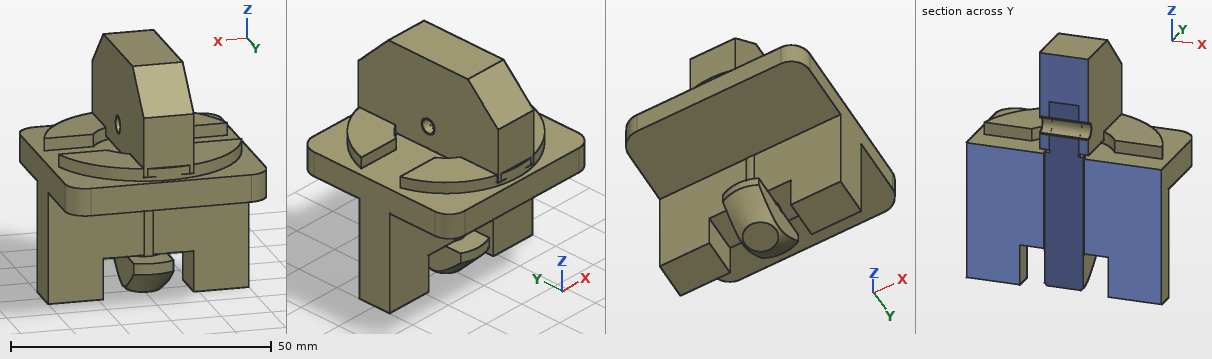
import cadquery as cq

plate_size = 40.0
plate_corner_radius = 4.05
plate_thickness = 5.5
slab_height = 22.45
slab_thickness = 8.0
notch_width = 18.05
notch_height = 8.25
ring_outer_diameter = 37.95
ring_inner_diameter = 19.9
ring_height = 2.5
ring_gap = 10.3
bore_diameter = 8.2
plate_top = slab_height + plate_thickness

total_height = 48.75
handle_thickness = 10.0
handle_length = 37.0
handle_height = 20.0
shoulder_size = 8.0
handle_bottom = total_height - handle_height

stem_diameter = 8.0
drive_width = 6.0
drive_shoulder_rise = 0.35
drive_bottom = plate_top + drive_shoulder_rise
drive_socket_depth = 10.0
drive_top = handle_bottom + drive_socket_depth
head_diameter = 17.2
head_bottom = 0.6
head_rim_bottom = 5.75
head_top = 7.95
head_taper = head_rim_bottom - head_bottom

pin_outer_diameter = 3.5
pin_inner_diameter = 3.0
pin_height = 33.75


def block(x_size, y_size, z_bottom, z_top):
    """Box centred on the Z axis between two heights."""
    return cq.Workplane("XY", origin=(0, 0, z_bottom)).box(
        x_size, y_size, z_top - z_bottom, centered=(True, True, False)
    )


def cylinder(diameter, z_bottom, z_top):
    """Upright cylinder on the Z axis between two heights."""
    return cq.Workplane("XY", origin=(0, 0, z_bottom)).circle(diameter / 2).extrude(z_top - z_bottom)


def cross_rod(diameter):
    """Rod along X at the pin height, as long as the handle is thick."""
    plane = cq.Workplane("YZ", origin=(-handle_thickness / 2, 0, pin_height))
    return plane.circle(diameter / 2).extrude(handle_thickness)


def make_drive_end():
    """Top of the stem, with two flats facing along X."""
    round_end = cylinder(stem_diameter, drive_bottom, drive_top)
    return round_end.intersect(block(drive_width, stem_diameter, drive_bottom, drive_top))


def make_ring():
    """Ring split into two segments by a straight gap along X."""
    ring_top = plate_top + ring_height
    ring = cylinder(ring_outer_diameter, plate_top, ring_top)
    ring = ring.cut(cylinder(ring_inner_diameter, plate_top, ring_top))
    return ring.cut(block(ring_outer_diameter, ring_gap, plate_top, ring_top))


def make_base():
    plate = block(plate_size, plate_size, slab_height, plate_top)
    plate = plate.edges("|Z").fillet(plate_corner_radius)
    slab = block(plate_size, slab_thickness, 0, slab_height)
    notch = block(notch_width, slab_thickness, 0, notch_height)
    handle_seat = block(handle_thickness, handle_length, handle_bottom, total_height)
    bore = cylinder(bore_diameter, 0, plate_top)
    return plate.union(slab.cut(notch)).union(make_ring()).cut(handle_seat).cut(bore)


def make_handle():
    grip = block(handle_thickness, handle_length, handle_bottom, total_height)
    grip = grip.faces(">Z").edges("|X").chamfer(shoulder_size)
    return grip.cut(make_drive_end()).cut(cross_rod(pin_outer_diameter))


def make_latch_head():
    """Disc with a conical underside, trimmed to two flats facing along X."""
    disc = cylinder(head_diameter, head_bottom, head_top)
    disc = disc.faces("<Z").edges().chamfer(head_taper)
    return disc.intersect(block(stem_diameter, head_diameter, head_bottom, head_top))


def make_shaft():
    stem = cylinder(stem_diameter, head_top, drive_bottom)
    shaft = stem.union(make_latch_head()).union(make_drive_end())
    return shaft.cut(cross_rod(pin_outer_diameter))


def make_cross_pin():
    return cross_rod(pin_outer_diameter).cut(cross_rod(pin_inner_diameter))


base = make_base()
handle = make_handle()
shaft = make_shaft()
cross_pin = make_cross_pin()

result = cq.Compound.makeCompound([base.val(), handle.val(), shaft.val(), cross_pin.val()])